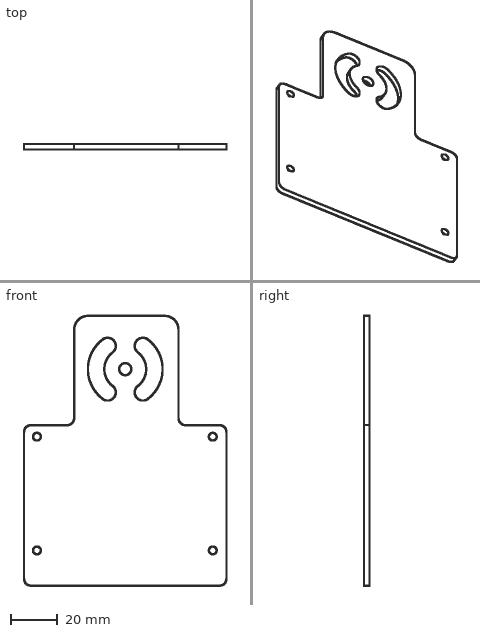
import cadquery as cq
import math

total_height = 116.0
body_width = 87.0
body_height = 69.0
thickness = 2.5
body_corner_radius = 3.0

tab_width = 44.9
tab_offset = 0.5
tab_corner_radius = 6.0
tab_root_radius = 3.0

mount_hole_diameter = 3.2
mount_left_margin = 5.6
mount_right_margin = 5.9
mount_top_margin = 5.0
mount_bottom_margin = 15.2

pivot_hole_diameter = 5.1
pivot_drop = 23.0
pivot_height = total_height - pivot_drop
slot_outer_radius = 16.0
slot_inner_radius = 9.0
slot_end_angle = 52.7

half_width = body_width / 2
tab_left = tab_offset - tab_width / 2
tab_right = tab_offset + tab_width / 2


def through_plane():
    """XZ sketch plane on the back face; extrusion goes toward -Y."""
    return cq.Workplane("XZ", origin=(0, thickness / 2, 0))


def make_plate():
    """Stepped plate outline with every corner rounded."""
    outline = [
        (-half_width, 0),
        (half_width, 0),
        (half_width, body_height),
        (tab_right, body_height),
        (tab_right, total_height),
        (tab_left, total_height),
        (tab_left, body_height),
        (-half_width, body_height),
    ]
    plate = through_plane().polyline(outline).close().extrude(thickness)
    body_corners = plate.edges("|Y").edges("<X or >X")
    plate = body_corners.fillet(body_corner_radius)
    plate = plate.edges("|Y").edges(">Z").fillet(tab_corner_radius)
    for root_x in (tab_left, tab_right):
        root_edge = cq.selectors.NearestToPointSelector((root_x, 0, body_height))
        plate = plate.edges("|Y").edges(root_edge).fillet(tab_root_radius)
    return plate


def make_hole(x, z, diameter):
    return through_plane().center(x, z).circle(diameter / 2).extrude(thickness)


def make_slot(side):
    """Curved slot about the pivot with round ends; side is +1 for right, -1 for left."""
    slot_end = math.radians(slot_end_angle)
    mid_radius = (slot_outer_radius + slot_inner_radius) / 2
    end_cap_radius = (slot_outer_radius - slot_inner_radius) / 2
    cap_tip_angle = slot_end + math.pi / 2

    def at(radius, angle):
        return (side * radius * math.cos(angle), radius * math.sin(angle))

    def cap_tip(direction):
        cap_x, cap_z = at(mid_radius, direction * slot_end)
        tip_x, tip_z = at(end_cap_radius, direction * cap_tip_angle)
        return (cap_x + tip_x, cap_z + tip_z)

    return (
        through_plane()
        .center(0, pivot_height)
        .moveTo(*at(slot_outer_radius, -slot_end))
        .threePointArc(at(slot_outer_radius, 0), at(slot_outer_radius, slot_end))
        .threePointArc(cap_tip(1), at(slot_inner_radius, slot_end))
        .threePointArc(at(slot_inner_radius, 0), at(slot_inner_radius, -slot_end))
        .threePointArc(cap_tip(-1), at(slot_outer_radius, -slot_end))
        .close()
        .extrude(thickness)
    )


result = make_plate()

for hole_x in (-half_width + mount_left_margin, half_width - mount_right_margin):
    for hole_z in (mount_bottom_margin, body_height - mount_top_margin):
        result = result.cut(make_hole(hole_x, hole_z, mount_hole_diameter))

result = result.cut(make_hole(0, pivot_height, pivot_hole_diameter))

for slot_side in (-1, 1):
    result = result.cut(make_slot(slot_side))